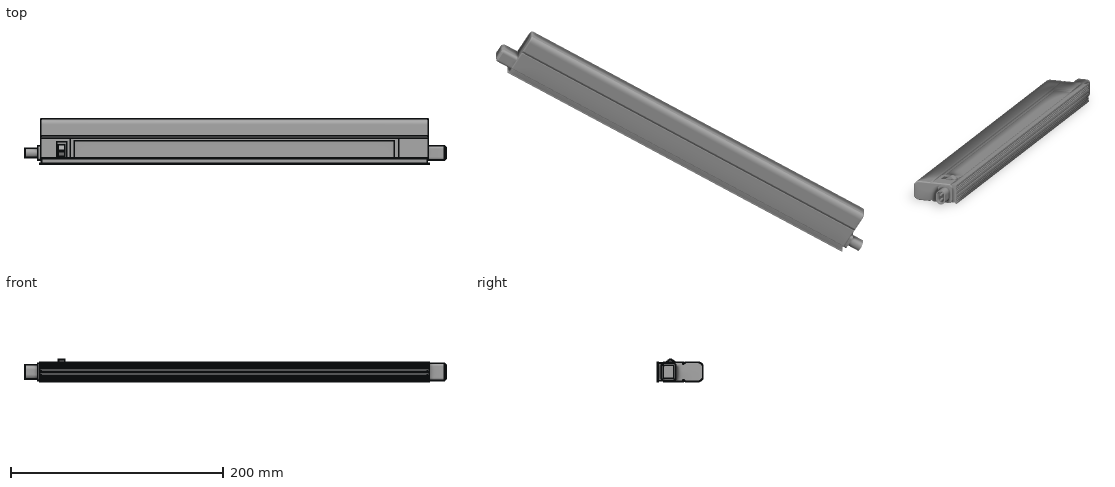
import cadquery as cq

X_MIN = -198.5
X_MAX = 198.5
Y_FRONT = -21.5
Y_REAR = 21.5
Z_TOP = 8.0
Z_BOTTOM = -10.5
Z_SWITCH_TOP = 10.5
X_MID = -1.0
Z_MID = (Z_TOP + Z_BOTTOM) / 2

HOUSING_LENGTH = 365.2
HOUSING_FRONT_Y = -16.4
REAR_ROUND_Y = 16.2
REAR_ROUND_RADIUS = 6.0
END_ROUND_RADIUS = 1.2

SEAM_FRONT_Y = 3.0
SEAM_REAR_Y = 5.4
SEAM_DEPTH = 1.8
TRIM_GROOVE_REAR_Y = -15.2
TRIM_GROOVE_DEPTH = 1.2

PANEL_LENGTH = 309.6
PANEL_DEPTH = 0.4
WINDOW_LENGTH = 301.4
WINDOW_REAR_Y = 0.6
WINDOW_DEPTH = 0.8

LENS_LENGTH = 367.2
LENS_NECK_INSET = 0.75
LENS_LIP = 1.0
FLUTE_DEPTH = 0.4
FLUTE_WIDTH = 1.6
FIRST_OUTER_FLUTE = 3.8
OUTER_FLUTES = 3

PLUG_FRONT_Y = -17.6
PLUG_REAR_Y = -3.9
PLUG_HEIGHT = 16.5
PLUG_CORNER_RADIUS = 2.8
PLUG_TIP_CHAMFER = 2.0
COLLAR_OUTER_X = -186.4
NOSE_WIDTH = 9.0
NOSE_HEIGHT = 13.6
UPRIGHT = 90
CONTACT_DIAMETER = 2.0
CONTACT_PITCH = 5.0
SOCKET_DEPTH = 6.0
SOCKET_WALL = 1.2
PLUG_Y = (PLUG_FRONT_Y + PLUG_REAR_Y) / 2

SWITCH_X = -163.8
SWITCH_FRAME_LENGTH = 9.6
SWITCH_FRAME_FRONT_Y = -15.2
SWITCH_FRAME_REAR_Y = -0.3
SWITCH_FRAME_DEPTH = 1.0
ROCKER_LENGTH = 6.0
ROCKER_FRONT_Y = -13.8
ROCKER_REAR_Y = -3.0
ROCKER_CREST_FRONT_Y = -9.8
ROCKER_CREST_REAR_Y = -8.4


def box_between(x_range, y_range, z_range):
    """Box that fills the three (low, high) ranges."""
    lows, highs = zip(x_range, y_range, z_range)
    sizes = [high - low for low, high in zip(lows, highs)]
    return cq.Workplane("XY").box(*sizes, centered=False).translate(lows)


def centred_range(middle, length):
    return (middle - length / 2, middle + length / 2)


def mirrored_in_height(body):
    """The body together with its mirror image about the housing's middle height."""
    plane_point = (0, 0, Z_MID)
    return body.union(body.mirror("XY", plane_point))


def extruded_profile(sketch, x_start, length):
    """Closed Y-Z outline carried along X."""
    return sketch.extrude(length).translate((x_start, 0, 0))


def rear_round_point(y):
    """Point of the top rear rounding, an arc tangent to the flat top."""
    run = y - REAR_ROUND_Y
    drop = REAR_ROUND_RADIUS - (REAR_ROUND_RADIUS**2 - run**2) ** 0.5
    return (y, Z_TOP - drop)


def below(point):
    return (point[0], 2 * Z_MID - point[1])


def make_housing():
    round_end = rear_round_point(Y_REAR)
    round_middle = rear_round_point((REAR_ROUND_Y + Y_REAR) / 2)
    outline = (
        cq.Workplane("YZ")
        .moveTo(HOUSING_FRONT_Y, Z_TOP)
        .lineTo(REAR_ROUND_Y, Z_TOP)
        .threePointArc(round_middle, round_end)
        .lineTo(*below(round_end))
        .threePointArc(below(round_middle), (REAR_ROUND_Y, Z_BOTTOM))
        .lineTo(HOUSING_FRONT_Y, Z_BOTTOM)
        .close()
    )
    housing = extruded_profile(outline, X_MID - HOUSING_LENGTH / 2, HOUSING_LENGTH)
    return housing.faces("<X or >X").fillet(END_ROUND_RADIUS)


def make_long_grooves():
    seam = (
        cq.Workplane("YZ")
        .moveTo(SEAM_FRONT_Y, Z_TOP)
        .lineTo(SEAM_REAR_Y, Z_TOP)
        .lineTo(SEAM_FRONT_Y, Z_TOP - SEAM_DEPTH)
        .close()
    )
    seam_groove = extruded_profile(seam, X_MID - HOUSING_LENGTH / 2, HOUSING_LENGTH)
    trim_groove = box_between(
        centred_range(X_MID, HOUSING_LENGTH),
        (HOUSING_FRONT_Y, TRIM_GROOVE_REAR_Y),
        (Z_TOP - TRIM_GROOVE_DEPTH, Z_TOP),
    )
    return mirrored_in_height(seam_groove.union(trim_groove))


def make_panel_recess():
    panel = box_between(
        centred_range(X_MID, PANEL_LENGTH),
        (TRIM_GROOVE_REAR_Y, SEAM_FRONT_Y),
        (Z_TOP - PANEL_DEPTH, Z_TOP),
    )
    window = box_between(
        centred_range(X_MID, WINDOW_LENGTH),
        (TRIM_GROOVE_REAR_Y, WINDOW_REAR_Y),
        (Z_TOP - WINDOW_DEPTH, Z_TOP),
    )
    return panel.union(window)


def make_flute(z):
    """V-shaped cutter across the front face of the lens at height z."""
    outline = (
        cq.Workplane("YZ")
        .moveTo(Y_FRONT, z - FLUTE_WIDTH / 2)
        .lineTo(Y_FRONT + FLUTE_DEPTH, z)
        .lineTo(Y_FRONT, z + FLUTE_WIDTH / 2)
        .close()
    )
    return extruded_profile(outline, X_MID - LENS_LENGTH / 2, LENS_LENGTH)


def make_lens():
    lip_rear_y = Y_FRONT + LENS_LIP
    neck = box_between(
        centred_range(X_MID, HOUSING_LENGTH - 2 * LENS_NECK_INSET),
        (lip_rear_y, HOUSING_FRONT_Y),
        (Z_BOTTOM + LENS_NECK_INSET, Z_TOP - LENS_NECK_INSET),
    )
    lip = box_between(
        centred_range(X_MID, LENS_LENGTH),
        (Y_FRONT, lip_rear_y),
        (Z_BOTTOM, Z_TOP),
    )
    lens = neck.union(lip).cut(make_flute(Z_MID))
    for index in range(OUTER_FLUTES):
        offset = FIRST_OUTER_FLUTE + index * FLUTE_WIDTH
        lens = lens.cut(make_flute(Z_MID + offset)).cut(make_flute(Z_MID - offset))
    return lens


def make_plug_block(x_range):
    """Block with rounded long edges that carries a connector."""
    block = box_between(
        x_range,
        (PLUG_FRONT_Y, PLUG_REAR_Y),
        centred_range(Z_MID, PLUG_HEIGHT),
    )
    return block.edges("|X").fillet(PLUG_CORNER_RADIUS)


def make_outlet_plug():
    plug = make_plug_block((X_MID, X_MAX))
    return plug.faces(">X").chamfer(PLUG_TIP_CHAMFER)


def make_inlet():
    collar = make_plug_block((COLLAR_OUTER_X, X_MID))
    nose_face = cq.Workplane("YZ", origin=(X_MIN, PLUG_Y, Z_MID))
    nose = nose_face.slot2D(NOSE_HEIGHT, NOSE_WIDTH, UPRIGHT).extrude(COLLAR_OUTER_X - X_MIN)
    socket = nose_face.slot2D(
        NOSE_HEIGHT - 2 * SOCKET_WALL, NOSE_WIDTH - 2 * SOCKET_WALL, UPRIGHT
    ).extrude(SOCKET_DEPTH)
    contacts = (
        nose_face.pushPoints([(0, -CONTACT_PITCH / 2), (0, CONTACT_PITCH / 2)])
        .circle(CONTACT_DIAMETER / 2)
        .extrude(SOCKET_DEPTH)
    )
    return collar.union(nose).cut(socket).union(contacts)


def make_switch_frame():
    return box_between(
        centred_range(SWITCH_X, SWITCH_FRAME_LENGTH),
        (SWITCH_FRAME_FRONT_Y, SWITCH_FRAME_REAR_Y),
        (Z_TOP - SWITCH_FRAME_DEPTH, Z_TOP),
    )


def make_rocker():
    base_z = Z_TOP - SWITCH_FRAME_DEPTH
    outline = (
        cq.Workplane("YZ")
        .moveTo(ROCKER_FRONT_Y, base_z)
        .lineTo(ROCKER_CREST_FRONT_Y, Z_SWITCH_TOP)
        .lineTo(ROCKER_CREST_REAR_Y, Z_SWITCH_TOP)
        .lineTo(ROCKER_REAR_Y, base_z)
        .close()
    )
    return extruded_profile(outline, SWITCH_X - ROCKER_LENGTH / 2, ROCKER_LENGTH)


result = (
    make_housing()
    .cut(make_long_grooves())
    .cut(make_panel_recess())
    .cut(make_switch_frame())
    .union(make_rocker())
    .union(make_lens())
    .union(make_inlet())
    .union(make_outlet_plug())
)